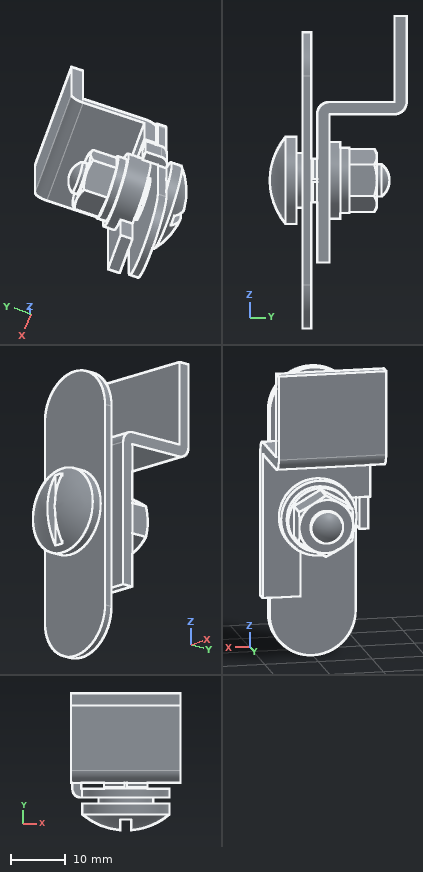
import cadquery as cq
import math


cam_width = 20.0
cam_thickness = 2.3
cam_depth = 16.35
cam_top = 30.0
cam_bottom = -15.0
shelf_top = 14.3
boss_radius = 7.0
boss_height = 2.0

plate_half_length = 27.0
plate_width = 16.0
plate_thickness = 1.65
plate_gap = 1.0
tab_half_height = 3.0
tab_outer_x = -9.75
tab_end_y = 1.95
tab_bend_radius = 1.6

head_radius = 8.0
head_rim = 2.0
dome_height = 2.95
slot_width = 1.95
slot_depth = 2.0
neck_radius = 5.0
neck_length = 1.0
shank_radius = 4.0
shank_overhang = 0.3
square_side = 6.0
square_turn = 45
thread_radius = 2.95
thread_past_nut = 0.85
tip_height = 1.5

washer_radius = 6.0
washer_thickness = 1.6
nut_across_flats = 10.0
nut_height = 5.0
nut_chamfer_angle = 30
nut_turn = 30

plate_back = -plate_gap
plate_front = plate_back - plate_thickness
neck_front = plate_front - neck_length
rim_front = neck_front - head_rim
dome_front = rim_front - dome_height
washer_front = cam_thickness + boss_height
nut_front = washer_front + washer_thickness
nut_back = nut_front + nut_height
thread_back = nut_back + thread_past_nut
tip_back = thread_back + tip_height


def looking_along_y(y):
    """Sketch plane with local axes X and Z, extruding towards +Y."""
    return cq.Workplane(cq.Plane(origin=(0, y, 0), xDir=(1, 0, 0), normal=(0, -1, 0)))


def cylinder(radius, front, back):
    return looking_along_y(front).circle(radius).extrude(front - back)


def square_shank(front, back):
    """Square bar standing on its corner, with the corners turned down to the shank radius."""
    bar = looking_along_y(front).rect(square_side, square_side).extrude(front - back)
    return bar.rotate((0, 0, 0), (0, 1, 0), square_turn).intersect(cylinder(shank_radius, front, back))


def make_cam():
    shelf_bottom = shelf_top - cam_thickness
    inner_back = cam_depth - cam_thickness
    strap = (
        cq.Workplane("YZ")
        .polyline([
            (0, cam_bottom),
            (cam_thickness, cam_bottom),
            (cam_thickness, shelf_bottom),
            (inner_back, shelf_bottom),
        ])
        .radiusArc((cam_depth, shelf_top), -cam_thickness)
        .lineTo(cam_depth, cam_top)
        .lineTo(inner_back, cam_top)
        .lineTo(inner_back, shelf_top)
        .lineTo(cam_thickness, shelf_top)
        .radiusArc((0, shelf_bottom), -cam_thickness)
        .close()
        .extrude(cam_width / 2, both=True)
    )
    clearance = (
        looking_along_y(0)
        .moveTo(-cam_width / 2, tab_half_height)
        .lineTo(tab_half_height, tab_half_height)
        .lineTo(tab_half_height, cam_bottom)
        .lineTo(-cam_width / 2, cam_bottom)
        .close()
        .extrude(-cam_thickness)
    )
    boss = cylinder(boss_radius, 0, washer_front)
    return strap.cut(clearance).union(boss).cut(square_shank(0, washer_front))


def make_stop_plate():
    plate = (
        looking_along_y(plate_front)
        .slot2D(2 * plate_half_length, plate_width, 90)
        .extrude(-plate_thickness)
    )
    tab_inner_x = tab_outer_x + plate_thickness
    tab = (
        cq.Workplane("XY")
        .moveTo(0, plate_front)
        .lineTo(tab_outer_x + tab_bend_radius, plate_front)
        .radiusArc((tab_outer_x, plate_front + tab_bend_radius), tab_bend_radius)
        .lineTo(tab_outer_x, tab_end_y)
        .lineTo(tab_inner_x, tab_end_y)
        .lineTo(tab_inner_x, plate_back)
        .lineTo(0, plate_back)
        .close()
        .extrude(tab_half_height, both=True)
    )
    return plate.union(tab).cut(cylinder(shank_radius, plate_front, plate_back))


def make_screw():
    dome_sphere = (head_radius**2 + dome_height**2) / (2 * dome_height)
    dome_half_angle = math.asin(head_radius / dome_sphere) / 2
    dome_mid = (
        dome_sphere * math.sin(dome_half_angle),
        dome_front + dome_sphere * (1 - math.cos(dome_half_angle)),
    )
    tip_sphere = (thread_radius**2 + tip_height**2) / (2 * tip_height)
    tip_half_angle = math.asin(thread_radius / tip_sphere) / 2
    tip_mid = (
        tip_sphere * math.sin(tip_half_angle),
        tip_back - tip_sphere * (1 - math.cos(tip_half_angle)),
    )
    shank_back = plate_back + shank_overhang
    turned = (
        cq.Workplane("XY")
        .moveTo(0, dome_front)
        .threePointArc(dome_mid, (head_radius, rim_front))
        .lineTo(head_radius, neck_front)
        .lineTo(neck_radius, neck_front)
        .lineTo(neck_radius, plate_front)
        .lineTo(shank_radius, plate_front)
        .lineTo(shank_radius, shank_back)
        .lineTo(thread_radius, shank_back)
        .lineTo(thread_radius, thread_back)
        .threePointArc(tip_mid, (0, tip_back))
        .close()
        .revolve(360, (0, 0, 0), (0, 1, 0))
    )
    square = square_shank(shank_back, washer_front)
    slot = looking_along_y(dome_front).rect(slot_width, 2 * head_radius).extrude(-slot_depth)
    return turned.union(square).cut(slot)


def make_washer():
    return cylinder(washer_radius, washer_front, nut_front).cut(
        cylinder(thread_radius, washer_front, nut_front)
    )


def make_nut():
    corner_radius = nut_across_flats / math.sqrt(3)
    hexagon = (
        looking_along_y(nut_front)
        .polygon(6, 2 * corner_radius)
        .extrude(-nut_height)
        .rotate((0, 0, 0), (0, 1, 0), nut_turn)
    )
    flat_radius = nut_across_flats / 2
    bevel_length = (corner_radius - flat_radius) * math.tan(math.radians(nut_chamfer_angle))
    envelope = (
        cq.Workplane("XY")
        .polyline([
            (0, nut_front),
            (corner_radius, nut_front),
            (corner_radius, nut_back - bevel_length),
            (flat_radius, nut_back),
            (0, nut_back),
        ])
        .close()
        .revolve(360, (0, 0, 0), (0, 1, 0))
    )
    return hexagon.intersect(envelope).cut(cylinder(thread_radius, nut_front, nut_back))


cam = make_cam()
stop_plate = make_stop_plate()
screw = make_screw()
washer = make_washer()
nut = make_nut()

result = cq.Compound.makeCompound([cam.val(), stop_plate.val(), screw.val(), washer.val(), nut.val()])